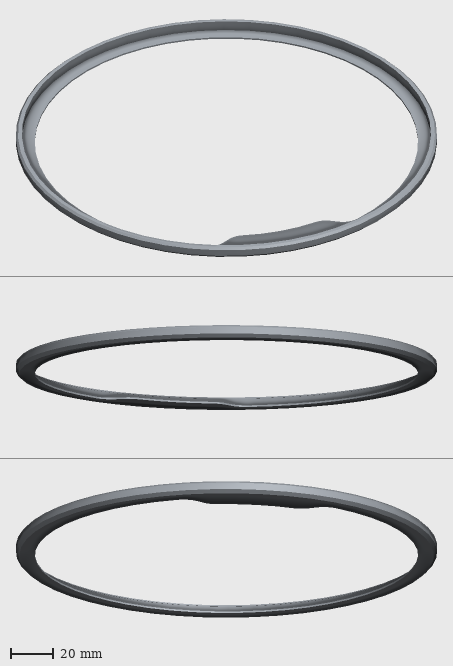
import cadquery as cq
import math

OUTER_DIAMETER = 200.0
WALL_INNER_DIAMETER = 194.5
OPENING_RADIUS = 91.0
HEIGHT = 5.8
FLOOR_THICKNESS = 0.8
LIP_HEIGHT = 0.5
LIP_OVERHANG = 0.2
TOP_CHAMFER = 1.0
BOTTOM_CHAMFER = 1.5

TAB_INNER_RADIUS = 81.2
TAB_HALF_WIDTH = 21.8
TAB_FLANK_ANGLE = 60.0
TAB_FILLET_RADIUS = 10.0

OUTER_RADIUS = OUTER_DIAMETER / 2
WALL_INNER_RADIUS = WALL_INNER_DIAMETER / 2
TAB_ROOT_RADIUS = (OPENING_RADIUS + WALL_INNER_RADIUS) / 2


def make_rim():
    """Floor, wall and inner lip as one body with chamfered outer edges."""
    body = (
        cq.Workplane("XY")
        .circle(OUTER_RADIUS)
        .extrude(HEIGHT)
        .faces(">Z").chamfer(TOP_CHAMFER)
        .faces("<Z").chamfer(BOTTOM_CHAMFER)
    )
    recess = (
        cq.Workplane("XY")
        .workplane(offset=FLOOR_THICKNESS)
        .circle(WALL_INNER_RADIUS)
        .extrude(HEIGHT - LIP_HEIGHT - FLOOR_THICKNESS)
    )
    lip_bore = (
        cq.Workplane("XY")
        .workplane(offset=HEIGHT - LIP_HEIGHT)
        .circle(WALL_INNER_RADIUS - LIP_OVERHANG)
        .extrude(LIP_HEIGHT)
    )
    opening = cq.Workplane("XY").circle(OPENING_RADIUS).extrude(HEIGHT)
    return body.cut(recess).cut(lip_bore).cut(opening)


def make_tab():
    """Ring segment concentric with the rim, bounded by two sloping flanks."""
    corner_x = math.sqrt(TAB_INNER_RADIUS**2 - TAB_HALF_WIDTH**2)
    flank_slope = math.tan(math.radians(TAB_FLANK_ANGLE))

    def flank_y(x):
        return TAB_HALF_WIDTH + (x - corner_x) * flank_slope

    near_x = corner_x - TAB_HALF_WIDTH / flank_slope
    wedge = (
        cq.Workplane("XY")
        .polyline([
            (near_x, 0),
            (TAB_ROOT_RADIUS, -flank_y(TAB_ROOT_RADIUS)),
            (TAB_ROOT_RADIUS, flank_y(TAB_ROOT_RADIUS)),
        ])
        .close()
        .extrude(FLOOR_THICKNESS)
    )
    segment = (
        cq.Workplane("XY")
        .circle(TAB_ROOT_RADIUS)
        .circle(TAB_INNER_RADIUS)
        .extrude(FLOOR_THICKNESS)
    )
    return segment.intersect(wedge)


def round_tab_corners(part):
    """Blend the flanks into the tab's inner arc and into the opening."""
    tab_corners = cq.selectors.BoxSelector(
        (0, -OPENING_RADIUS, 0),
        (OPENING_RADIUS, OPENING_RADIUS, FLOOR_THICKNESS),
    )
    return part.edges("|Z").edges(tab_corners).fillet(TAB_FILLET_RADIUS)


result = round_tab_corners(make_rim().union(make_tab()))